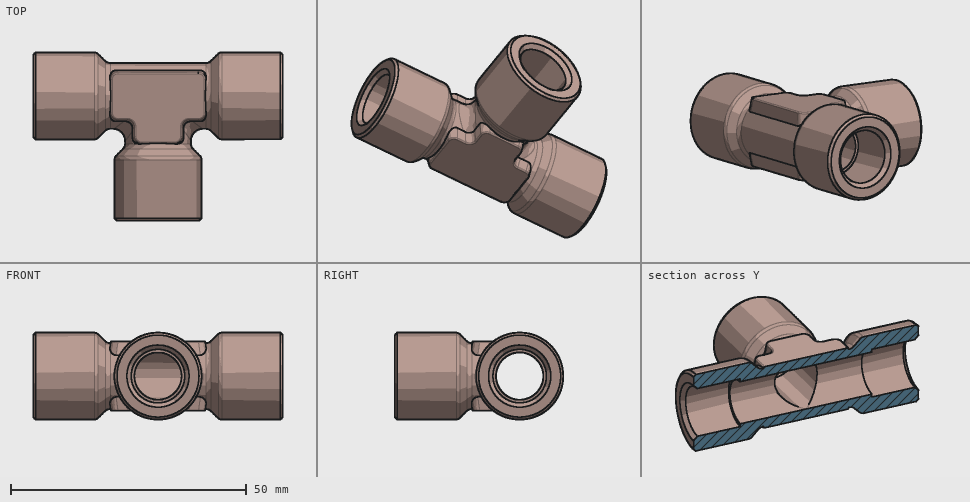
import cadquery as cq
import math

ARM_LENGTH = 26.5
COLLAR_RADIUS = 9.25
BODY_RADIUS = 7.0
COLLAR_START = 13.5
SHOULDER_ANGLE = 45.0
END_CHAMFER = 0.55
COLLAR_EDGE_FILLET = 1.1
SHOULDER_ROOT_FILLET = 1.5
CROTCH_FILLET = 2.5
CROTCH_OVERLAP = 0.15
CROTCH_HALF_HEIGHT = 5.2

BORE_RADIUS = 5.0
SOCKET_RADIUS = 5.675
SOCKET_MOUTH_RADIUS = 6.6
SOCKET_DEPTH = 11.0

PAD_HEIGHT = 7.4
PAD_REACH = 10.0
PAD_HALF_WIDTH = 5.0
PAD_DRAFT = 8.0
PAD_BASE = 2.0
PAD_CORNER_RADIUS = 1.5
PAD_EDGE_FILLET = 0.3

SELECTION_TOLERANCE = 0.01
ARM_ANGLES = (0, 180, -90)


def arm_blank(angle):
    """Solid arm: body cylinder, conical shoulder and chamfered collar."""
    shoulder_top = COLLAR_START - COLLAR_EDGE_FILLET * math.tan(math.radians(SHOULDER_ANGLE / 2))
    shoulder_rise = COLLAR_RADIUS - BODY_RADIUS
    shoulder_root = shoulder_top - shoulder_rise / math.tan(math.radians(SHOULDER_ANGLE))
    arm = (
        cq.Workplane("XY")
        .moveTo(0, 0)
        .lineTo(0, BODY_RADIUS)
        .lineTo(shoulder_root, BODY_RADIUS)
        .lineTo(shoulder_top, COLLAR_RADIUS)
        .lineTo(ARM_LENGTH - END_CHAMFER, COLLAR_RADIUS)
        .lineTo(ARM_LENGTH, COLLAR_RADIUS - END_CHAMFER)
        .lineTo(ARM_LENGTH, 0)
        .close()
        .revolve(360, (0, 0, 0), (1, 0, 0))
    )
    arm = fillet_ring(arm, shoulder_top, COLLAR_EDGE_FILLET)
    arm = fillet_ring(arm, shoulder_root, SHOULDER_ROOT_FILLET)
    return arm.rotate((0, 0, 0), (0, 0, 1), angle)


def fillet_ring(arm, position, radius):
    """Fillet the circular edge of an unrotated arm lying at x = position."""
    reach = 2 * COLLAR_RADIUS
    ring = cq.selectors.BoxSelector(
        (position - SELECTION_TOLERANCE, -reach, -reach),
        (position + SELECTION_TOLERANCE, reach, reach),
    )
    return arm.edges(ring).fillet(radius)


def arm_bore(angle):
    """Cutter for one arm: bore, wider socket and mouth chamfer."""
    mouth_depth = SOCKET_MOUTH_RADIUS - SOCKET_RADIUS
    socket_end = ARM_LENGTH - SOCKET_DEPTH
    return (
        cq.Workplane("XY")
        .moveTo(0, 0)
        .lineTo(0, BORE_RADIUS)
        .lineTo(socket_end, BORE_RADIUS)
        .lineTo(socket_end, SOCKET_RADIUS)
        .lineTo(ARM_LENGTH - mouth_depth, SOCKET_RADIUS)
        .lineTo(ARM_LENGTH, SOCKET_MOUTH_RADIUS)
        .lineTo(ARM_LENGTH, 0)
        .close()
        .revolve(360, (0, 0, 0), (1, 0, 0))
        .rotate((0, 0, 0), (0, 0, 1), angle)
    )


def pad_outline(spread):
    """Sharp T outline with every wall moved outwards by spread."""
    reach = PAD_REACH + spread
    half_width = PAD_HALF_WIDTH + spread
    return [
        (-reach, half_width),
        (reach, half_width),
        (reach, -half_width),
        (half_width, -half_width),
        (half_width, -reach),
        (-half_width, -reach),
        (-half_width, -half_width),
        (-reach, -half_width),
    ]


def top_pad():
    """Drafted T-shaped pad with rounded corners, face up at PAD_HEIGHT."""
    wall_height = PAD_HEIGHT - PAD_BASE
    base_spread = wall_height * math.tan(math.radians(PAD_DRAFT))
    pad = (
        cq.Workplane("XY", origin=(0, 0, PAD_BASE))
        .polyline(pad_outline(base_spread))
        .close()
        .workplane(offset=wall_height)
        .polyline(pad_outline(0))
        .close()
        .loft(ruled=True)
    )
    pad = pad.edges("not #Z").fillet(PAD_CORNER_RADIUS)
    return pad.faces(">Z").edges().fillet(PAD_EDGE_FILLET)


def crotch_core():
    """Middle slab of the body cylinders with the run-to-branch edges filleted.

    The slab stops inside the pads, where those edges disappear into the pad walls.
    """
    span = BODY_RADIUS + CROTCH_FILLET + CROTCH_OVERLAP
    run = cq.Workplane("YZ", origin=(-span, 0, 0)).circle(BODY_RADIUS).extrude(2 * span)
    branch = cq.Workplane("XZ").circle(BODY_RADIUS).extrude(span)
    slab = cq.Workplane("XY").box(4 * span, 4 * span, 2 * CROTCH_HALF_HEIGHT)
    core = run.union(branch).intersect(slab)
    return core.edges("%ELLIPSE").fillet(CROTCH_FILLET)


body = arm_blank(ARM_ANGLES[0])
for arm_angle in ARM_ANGLES[1:]:
    body = body.union(arm_blank(arm_angle))
pad = top_pad()
body = body.union(pad).union(pad.mirror("XY")).union(crotch_core())
for arm_angle in ARM_ANGLES:
    body = body.cut(arm_bore(arm_angle))

result = body